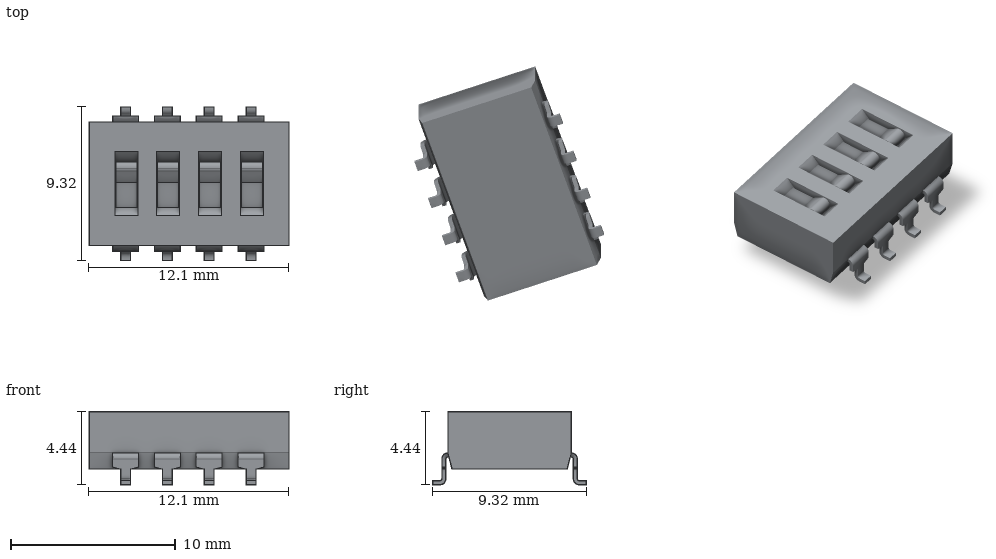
import cadquery as cq
import math

body_length = 12.14
body_width = 7.5
total_height = 4.44
body_height = 3.5
taper_height = 1.01
taper_inset = 0.25
body_bottom = total_height - body_height
taper_top = body_bottom + taper_height

position_count = 4
pitch = 2.54
first_position = -pitch * (position_count - 1) / 2

recess_width = 1.4
recess_length = 3.88
recess_depth = 0.9

lever_width = 1.27
lever_floor_depth = 0.5
ramp_foot_y = 0.07
ramp_top_y = 0.76
crest_y = 0.93
crest_depth = 0.02
crest_radius = 0.34
end_radius = 0.39

terminal_shift = -0.05
terminal_span = 9.32
metal_thickness = 0.25
leg_reach = 0.36
terminal_top = 1.94
inner_bend_radius = 0.12
outer_bend_radius = inner_bend_radius + metal_thickness
root_embed = 0.49
shoulder_width = 1.58
stem_width = 0.61
shoulder_bottom = 1.08
stem_top = 0.95


def extrude_along_x(profile, width):
    """Extrude a profile of the YZ plane by width, centred on X = 0."""
    return profile.extrude(width / 2, both=True)


def make_housing():
    """Plain block whose two long sides taper inwards near the bottom."""
    half_width = body_width / 2
    half_bottom = half_width - taper_inset
    profile = cq.Workplane("YZ").polyline([
        (-half_bottom, body_bottom),
        (half_bottom, body_bottom),
        (half_width, taper_top),
        (half_width, total_height),
        (-half_width, total_height),
        (-half_width, taper_top),
    ]).close()
    return extrude_along_x(profile, body_length)


def make_recess():
    """Cutter for one recess."""
    half_top = recess_length / 2
    half_floor = half_top - recess_depth
    floor_z = total_height - recess_depth
    profile = cq.Workplane("YZ").polyline([
        (-half_top, total_height),
        (-half_floor, floor_z),
        (half_floor, floor_z),
        (half_top, total_height),
    ]).close()
    return extrude_along_x(profile, recess_width)


def make_lever():
    """Lever seated in a recess: flat part, ramp and rounded crest with an upright end."""
    half_top = recess_length / 2
    half_floor = half_top - recess_depth
    floor_z = total_height - recess_depth
    flat_z = total_height - lever_floor_depth

    crest_z = total_height - crest_depth
    crest_center_z = crest_z - crest_radius
    ramp_top_z = crest_center_z + math.sqrt(crest_radius**2 - (crest_y - ramp_top_y) ** 2)
    end_y = crest_y + end_radius
    end_foot_z = total_height - (half_top - end_y)
    profile = (
        cq.Workplane("YZ")
        .moveTo(-half_floor, floor_z)
        .lineTo(-(half_top - lever_floor_depth), flat_z)
        .lineTo(ramp_foot_y, flat_z)
        .lineTo(ramp_top_y, ramp_top_z)
        .radiusArc((crest_y, crest_z), crest_radius)
        .radiusArc((end_y, crest_z - end_radius), end_radius)
        .lineTo(end_y, end_foot_z)
        .lineTo(half_floor, floor_z)
        .close()
    )
    return extrude_along_x(profile, lever_width)


def make_terminal():
    """Gull-wing terminal on the -Y side: bent strip trimmed to a shouldered outline."""
    root_y = -body_width / 2 + root_embed
    outer_y = -body_width / 2 - leg_reach
    inner_y = outer_y + metal_thickness
    toe_y = -terminal_span / 2
    top_z = terminal_top
    under_z = top_z - metal_thickness
    r_in = inner_bend_radius
    r_out = outer_bend_radius
    strip_profile = (
        cq.Workplane("YZ")
        .moveTo(root_y, top_z)
        .lineTo(outer_y + r_out, top_z)
        .radiusArc((outer_y, top_z - r_out), -r_out)
        .lineTo(outer_y, metal_thickness + r_in)
        .radiusArc((outer_y - r_in, metal_thickness), r_in)
        .lineTo(toe_y, metal_thickness)
        .lineTo(toe_y, 0)
        .lineTo(inner_y - r_out, 0)
        .radiusArc((inner_y, r_out), -r_out)
        .lineTo(inner_y, under_z - r_in)
        .radiusArc((inner_y + r_in, under_z), r_in)
        .lineTo(root_y, under_z)
        .close()
    )
    strip = extrude_along_x(strip_profile, shoulder_width)

    half_shoulder = shoulder_width / 2
    half_stem = stem_width / 2
    outline = cq.Workplane("XZ").polyline([
        (-half_stem, 0),
        (half_stem, 0),
        (half_stem, stem_top),
        (half_shoulder, shoulder_bottom),
        (half_shoulder, top_z),
        (-half_shoulder, top_z),
        (-half_shoulder, shoulder_bottom),
        (-half_stem, stem_top),
    ]).close().extrude(terminal_span / 2)
    return strip.intersect(outline)


recess = make_recess()
lever = make_lever()
front_terminal = make_terminal()
rear_terminal = front_terminal.mirror("XZ")

result = make_housing()
for index in range(position_count):
    x = first_position + index * pitch
    result = result.cut(recess.translate((x, 0, 0)))
    result = result.union(lever.translate((x, 0, 0)))
    for terminal in (front_terminal, rear_terminal):
        result = result.union(terminal.translate((x + terminal_shift, 0, 0)))